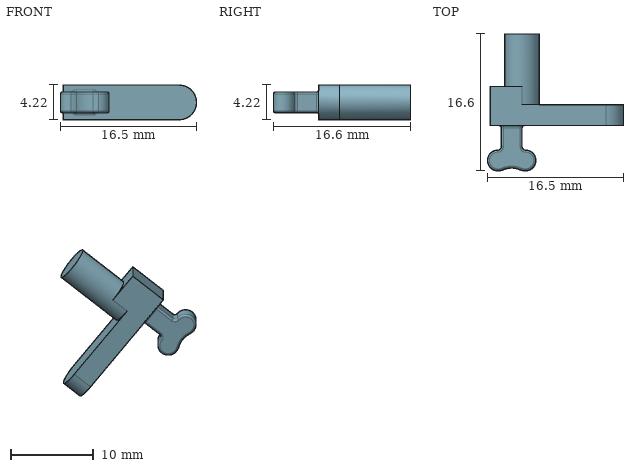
import cadquery as cq
import math

height = 4.22
end_radius = height / 2
arm_length = 16.16
arm_thickness = 2.54
block_width = 3.86
block_depth = 4.76
rod_end = 11.12
arm_left = -block_width
tip_center = arm_left + arm_length - end_radius

key_thickness = 2.54
stem_width = 2.54
stem_length = 2.54
key_center = arm_left + 2.62
key_rounding = 0.254
lobe_radius = 1.27
neck_radius = 0.4
hollow_half_width = 1.015
hollow_depth = 0.34
key_embed = 1.0

lobe_offset = stem_width / 2 + neck_radius
lobe_back = -(stem_length + neck_radius)
lobe_center = lobe_back - lobe_radius
lobe_front = lobe_center - lobe_radius

slope_angle = 2 * math.atan(hollow_depth / lobe_offset)
hollow_radius = hollow_half_width / math.sin(slope_angle)
shoulder_radius = lobe_offset / math.sin(slope_angle) - hollow_radius


def make_arm():
    """Flat arm with a full round at its +X tip."""
    return (
        cq.Workplane("XZ")
        .moveTo(arm_left, -end_radius)
        .lineTo(tip_center, -end_radius)
        .threePointArc((tip_center + end_radius, 0), (tip_center, end_radius))
        .lineTo(arm_left, end_radius)
        .close()
        .extrude(-arm_thickness)
    )


def make_block():
    """Thicker block at the -X end of the arm."""
    return cq.Workplane("XY").box(
        block_width, block_depth, height, centered=(False, False, True)
    ).translate((arm_left, 0, 0))


def make_rod():
    """Round rod from the back of the arm to its free +Y end."""
    rod_length = rod_end - arm_thickness
    rod_start = cq.Workplane("XZ").workplane(offset=-arm_thickness)
    return rod_start.circle(end_radius).extrude(-rod_length)


def make_key():
    """Key centred on X = 0 with its long edges rounded."""
    half_stem = stem_width / 2
    neck_bend = neck_radius * (1 - math.sqrt(0.5))
    shoulder_half_angle = slope_angle / 2
    shoulder_middle = (
        lobe_offset - shoulder_radius * math.sin(shoulder_half_angle),
        lobe_front + shoulder_radius * (1 - math.cos(shoulder_half_angle)),
    )
    hollow_edge = lobe_front + shoulder_radius * (1 - math.cos(slope_angle))
    outline = (
        cq.Workplane("XY")
        .workplane(offset=-key_thickness / 2)
        .moveTo(-half_stem, key_embed)
        .lineTo(half_stem, key_embed)
        .lineTo(half_stem, -stem_length)
        .threePointArc((half_stem + neck_bend, lobe_back + neck_bend), (lobe_offset, lobe_back))
        .threePointArc((lobe_offset + lobe_radius, lobe_center), (lobe_offset, lobe_front))
        .threePointArc(shoulder_middle, (hollow_half_width, hollow_edge))
        .threePointArc((0, lobe_front + hollow_depth), (-hollow_half_width, hollow_edge))
        .threePointArc((-shoulder_middle[0], shoulder_middle[1]), (-lobe_offset, lobe_front))
        .threePointArc((-lobe_offset - lobe_radius, lobe_center), (-lobe_offset, lobe_back))
        .threePointArc((-half_stem - neck_bend, lobe_back + neck_bend), (-half_stem, -stem_length))
        .close()
    )
    return outline.extrude(key_thickness).faces("<Z or >Z").edges().fillet(key_rounding)


def fillet_stem_root(body):
    """Fillet the edges where the stem meets the block's front face."""
    reach_x = stem_width / 2 + key_rounding
    reach_y = key_rounding / 2
    reach_z = key_thickness / 2 + key_rounding
    root_box = cq.selectors.BoxSelector(
        (key_center - reach_x, -reach_y, -reach_z),
        (key_center + reach_x, reach_y, reach_z),
    )
    return body.edges(root_box).edges("#Y").fillet(key_rounding)


body = make_arm().union(make_block()).union(make_rod())
body = body.union(make_key().translate((key_center, 0, 0)))
result = fillet_stem_root(body)